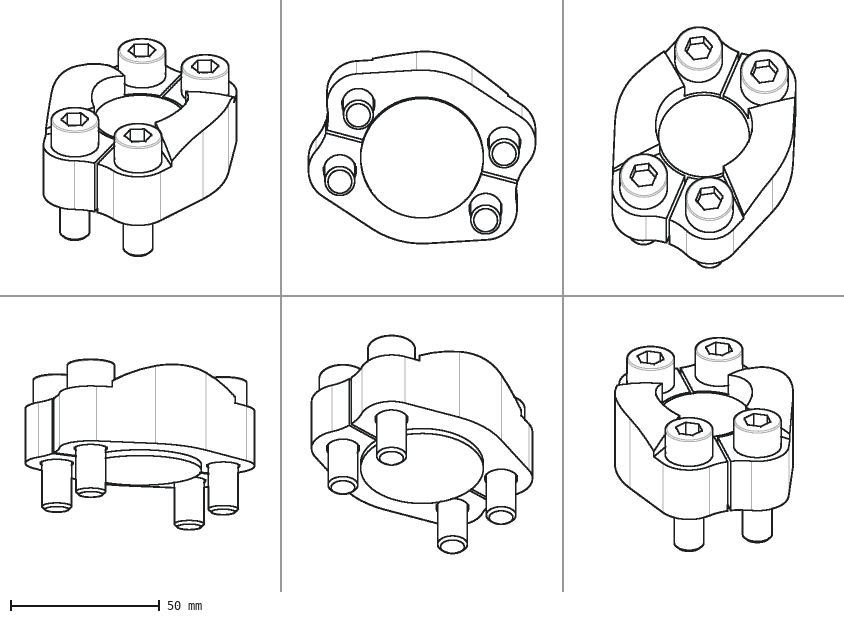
import cadquery as cq
import math

side_radius = 30.0
lobe_radius = 10.6
bolt_spacing_x = 23.75
overall_length = 72.0
bolt_x = bolt_spacing_x / 2
bolt_y = overall_length / 2 - lobe_radius
bolt_points = [(x, y) for x in (-bolt_x, bolt_x) for y in (-bolt_y, bolt_y)]
waist_radius = 17.05
clamp_gap = 1.1

plate_height = 19.0
crown_height = 28.0
crown_radius = 43.55
bore_diameter = 32.45

hub_diameter = 30.5
hub_top = plate_height
flange_diameter = 41.3
flange_top = 4.75
flange_drop = 2.0

bolt_diameter = 10.0
bolt_hole_diameter = 11.0
bolt_reach = 16.0
bolt_tip_chamfer = 1.0
head_diameter = 16.0
head_height = 10.0
head_fillet = 0.4
socket_across_flats = 8.0
socket_depth = 5.0


def clamp_profile():
    """Closed outline of both clamp halves, including the waists at the ends."""
    lobe_distance = math.hypot(bolt_x, bolt_y)
    tangent_angle = math.atan2(bolt_y, bolt_x) - math.acos((side_radius - lobe_radius) / lobe_distance)
    normal_x = math.cos(tangent_angle)
    normal_y = math.sin(tangent_angle)
    side_x = side_radius * normal_x
    side_y = side_radius * normal_y
    lobe_x = bolt_x + lobe_radius * normal_x
    lobe_y = bolt_y + lobe_radius * normal_y

    centre_distance = lobe_radius + waist_radius
    waist_rise = math.sqrt(centre_distance**2 - bolt_x**2)
    waist_x = bolt_x * waist_radius / centre_distance
    waist_y = bolt_y + waist_rise * lobe_radius / centre_distance
    waist_low_y = bolt_y + waist_rise - waist_radius
    lobe_end_y = overall_length / 2

    return (
        cq.Workplane("XY")
        .moveTo(side_x, -side_y)
        .threePointArc((side_radius, 0), (side_x, side_y))
        .lineTo(lobe_x, lobe_y)
        .threePointArc((bolt_x, lobe_end_y), (waist_x, waist_y))
        .threePointArc((0, waist_low_y), (-waist_x, waist_y))
        .threePointArc((-bolt_x, lobe_end_y), (-lobe_x, lobe_y))
        .lineTo(-side_x, side_y)
        .threePointArc((-side_radius, 0), (-side_x, -side_y))
        .lineTo(-lobe_x, -lobe_y)
        .threePointArc((-bolt_x, -lobe_end_y), (-waist_x, -waist_y))
        .threePointArc((0, -waist_low_y), (waist_x, -waist_y))
        .threePointArc((bolt_x, -lobe_end_y), (lobe_x, -lobe_y))
        .close()
    )


def crown_space():
    """Volume under the cylindrical crown, limited to the two 90 degree side sectors."""
    reach = overall_length / 2
    sectors = (
        cq.Workplane("XY")
        .polyline([(0, 0), (reach, reach), (reach, -reach)]).close()
        .polyline([(0, 0), (-reach, reach), (-reach, -reach)]).close()
        .extrude(crown_height)
    )
    crown = (
        cq.Workplane("YZ")
        .center(0, crown_height - crown_radius)
        .circle(crown_radius)
        .extrude(reach, both=True)
    )
    return sectors.intersect(crown)


def make_clamp():
    plate = clamp_profile().extrude(plate_height)
    crown = clamp_profile().extrude(crown_height).intersect(crown_space())
    gap = cq.Workplane("XY").box(clamp_gap, overall_length, crown_height, centered=(True, True, False))
    bore = cq.Workplane("XY").circle(bore_diameter / 2).extrude(crown_height)
    flange_seat = cq.Workplane("XY").circle(flange_diameter / 2).extrude(flange_top)
    bolt_holes = cq.Workplane("XY").pushPoints(bolt_points).circle(bolt_hole_diameter / 2).extrude(plate_height)
    return plate.union(crown).cut(gap).cut(bore).cut(flange_seat).cut(bolt_holes)


def make_hub():
    flange = (
        cq.Workplane("XY")
        .workplane(offset=-flange_drop)
        .circle(flange_diameter / 2)
        .extrude(flange_drop + flange_top)
    )
    hub = cq.Workplane("XY").circle(hub_diameter / 2).extrude(hub_top)
    return flange.union(hub)


def make_bolt():
    shank = (
        cq.Workplane("XY")
        .workplane(offset=-bolt_reach)
        .circle(bolt_diameter / 2)
        .extrude(bolt_reach + plate_height)
        .faces("<Z")
        .chamfer(bolt_tip_chamfer)
    )
    head = (
        cq.Workplane("XY")
        .workplane(offset=plate_height)
        .circle(head_diameter / 2)
        .extrude(head_height)
        .faces(">Z")
        .fillet(head_fillet)
    )
    socket_across_corners = socket_across_flats / math.cos(math.pi / 6)
    socket = (
        cq.Workplane("XY")
        .workplane(offset=plate_height + head_height - socket_depth)
        .polygon(6, socket_across_corners)
        .extrude(socket_depth)
        .rotate((0, 0, 0), (0, 0, 1), 30)
    )
    return shank.union(head).cut(socket)


result = make_clamp().union(make_hub())
bolt = make_bolt()
for x, y in bolt_points:
    result = result.union(bolt.translate((x, y, 0)))